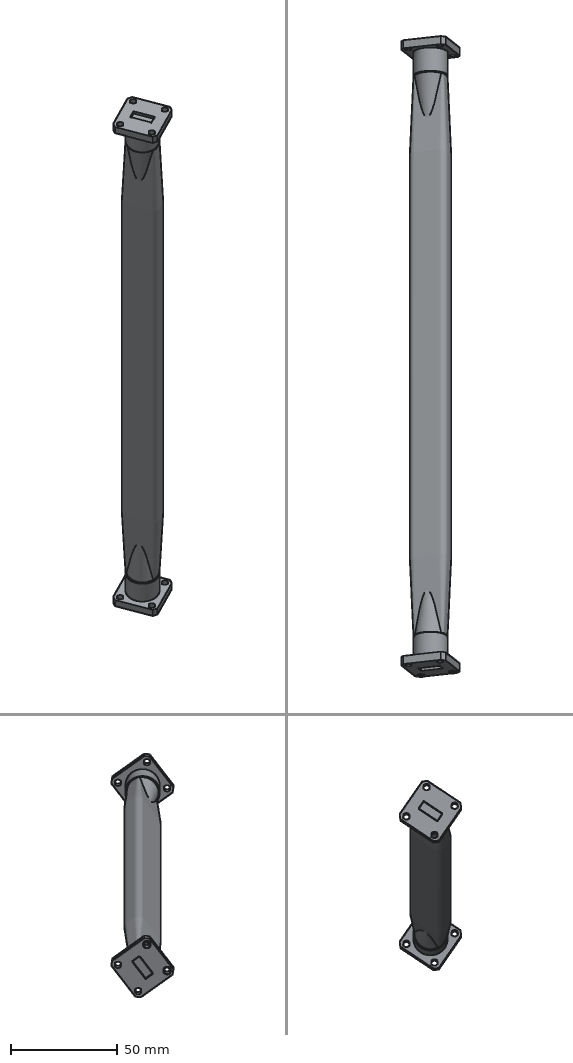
import cadquery as cq

total_length = 308.2
boss_height = 0.4
half_length = (total_length - boss_height) / 2

flange_side = 22.4
flange_thickness = 4.0
flange_corner_chamfer = 1.75
bolt_spacing_x = 16.0
bolt_spacing_y = 17.0
bolt_hole_diameter = 3.1
boss_diameter = 3.7

opening_width = 10.7
opening_height = 4.3
opening_depth = 1.5

collar_diameter = 16.3
collar_length = 11.8
collar_edge_chamfer = 0.4
collar_end = half_length - flange_thickness - collar_length

core_width = 12.9
core_depth = 4.4
tube_corner_radius = 3.0
tube_half_length = 100.0

transition_length = collar_end - tube_half_length
transition_end_radius = 1.3
cone_start_diameter = 15.1
cone_tip_diameter = 8.0
cone_length = 24.6


def rounded_core(radius):
    """Rounded rectangle whose flats are as long as the core sides."""
    return (
        cq.Sketch()
        .rect(core_width + 2 * radius, core_depth + 2 * radius)
        .vertices()
        .fillet(radius)
    )


def make_tube():
    return (
        cq.Workplane("XY", origin=(0, 0, -tube_half_length))
        .placeSketch(rounded_core(tube_corner_radius))
        .extrude(2 * tube_half_length)
    )


def make_transition():
    """Tapered tube end merged with a cone that narrows away from the collar."""
    transition_end = cq.Location(cq.Vector(0, 0, transition_length))
    taper = (
        cq.Workplane("XY", origin=(0, 0, tube_half_length))
        .placeSketch(
            rounded_core(tube_corner_radius),
            rounded_core(transition_end_radius).moved(transition_end),
        )
        .loft(ruled=True)
    )
    cone = cq.Workplane(
        cq.Solid.makeCone(
            cone_start_diameter / 2,
            cone_tip_diameter / 2,
            cone_length,
            cq.Vector(0, 0, collar_end),
            cq.Vector(0, 0, -1),
        )
    )
    return taper.union(cone)


def make_collar():
    return (
        cq.Workplane("XY", origin=(0, 0, collar_end))
        .circle(collar_diameter / 2)
        .extrude(collar_length)
        .faces("<Z")
        .chamfer(collar_edge_chamfer)
    )


def make_flange():
    flange = (
        cq.Workplane("XY", origin=(0, 0, half_length - flange_thickness))
        .rect(flange_side, flange_side)
        .extrude(flange_thickness)
        .edges("|Z")
        .chamfer(flange_corner_chamfer)
    )
    return (
        flange.faces(">Z")
        .workplane()
        .rect(bolt_spacing_x, bolt_spacing_y, forConstruction=True)
        .vertices()
        .hole(bolt_hole_diameter)
    )


def make_opening():
    return (
        cq.Workplane("XY", origin=(0, 0, half_length - opening_depth))
        .rect(opening_width, opening_height)
        .extrude(opening_depth)
    )


def make_boss(side):
    """Raised ring around one of the -Y bolt holes, standing below the lower flange face."""
    return (
        cq.Workplane("XY", origin=(side * bolt_spacing_x / 2, -bolt_spacing_y / 2, -half_length))
        .circle(boss_diameter / 2)
        .circle(bolt_hole_diameter / 2)
        .extrude(-boss_height)
    )


upper_end = make_transition().union(make_collar()).union(make_flange()).cut(make_opening())
lower_end = upper_end.mirror("XY")
assembly = make_tube().union(upper_end).union(lower_end)
for side in (-1, 1):
    assembly = assembly.union(make_boss(side))

result = assembly.translate((0, 0, boss_height / 2))